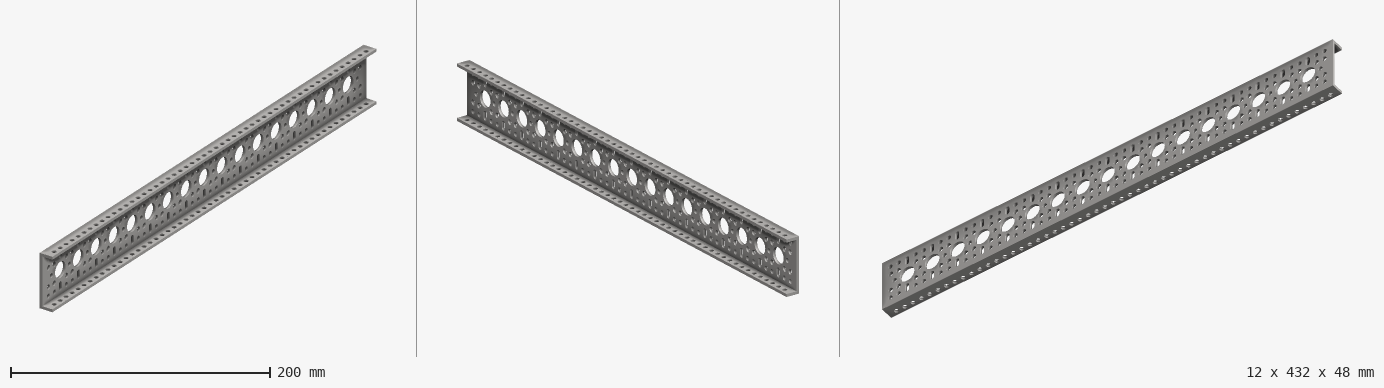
import cadquery as cq
import math

length = 432.0
wall = 2.5

grid_cells = 54
cells_per_bore = 3
pitch = length / grid_cells
height = 6 * pitch
depth = 1.5 * pitch

bore_pitch = cells_per_bore * pitch
bore_count = grid_cells // cells_per_bore - 1
bore_diameter = 1.75 * pitch
small_diameter = pitch / 2

upright_slot_center = 1.75 * pitch
upright_slot_length = pitch

outer_row = 2 * pitch
bolt_circle_radius = bore_pitch / 2
diagonal_inner = pitch
diagonal_outer = bolt_circle_radius * math.sin(math.radians(45))
diagonal_center = (diagonal_inner + diagonal_outer) / 2
diagonal_slot_length = (diagonal_outer - diagonal_inner) * math.sqrt(2) + small_diameter


def centered(count, spacing):
    """Positions of evenly spaced features, symmetric about the middle."""
    return [(i - (count - 1) / 2) * spacing for i in range(count)]


bore_positions = centered(bore_count, bore_pitch)
link_positions = centered(bore_count + 1, bore_pitch)
flange_positions = centered(grid_cells - 1, pitch)


def channel():
    """Plain U-shaped channel."""
    outside = cq.Workplane("XY").box(depth, length, height)
    inside = cq.Workplane("XY").box(depth, length, height - 2 * wall)
    return outside.cut(inside.translate((wall, 0, 0)))


def web_sketch(points):
    """Points on the outer web face: local x is Y, local y is Z."""
    return cq.Workplane("YZ", origin=(-depth / 2, 0, 0)).pushPoints(points)


def bores():
    """Large bores along the middle of the web."""
    points = [(y, 0) for y in bore_positions]
    return web_sketch(points).circle(bore_diameter / 2).extrude(wall)


def small_web_holes():
    """Link holes between the bores and the pairs of holes in the outer rows."""
    points = [(y, 0) for y in link_positions]
    for y in link_positions:
        for side in (-1, 1):
            points += [(y + side * pitch / 2, -outer_row), (y + side * pitch / 2, outer_row)]
    return web_sketch(points).circle(small_diameter / 2).extrude(wall)


def upright_slots():
    """Slots above and below every bore."""
    points = [(y, side * upright_slot_center) for y in bore_positions for side in (-1, 1)]
    return web_sketch(points).slot2D(upright_slot_length, small_diameter, 90).extrude(wall)


def diagonal_slots(direction):
    """Slots that rise toward +Y (direction 1) or toward -Y (direction -1)."""
    link_offset = bolt_circle_radius - diagonal_center
    points = []
    for y in link_positions:
        points.append((y - direction * link_offset, diagonal_center))
        points.append((y + direction * link_offset, -diagonal_center))
    return web_sketch(points).slot2D(diagonal_slot_length, small_diameter, direction * 45).extrude(wall)


def flange_holes():
    """Cutters running through both flanges, one grid pitch from the web face."""
    hole_x = -depth / 2 + pitch
    points = [(hole_x, y) for y in flange_positions]
    flanges = cq.Workplane("XY", origin=(0, 0, -height / 2)).pushPoints(points)
    return flanges.circle(small_diameter / 2).extrude(height)


cutters = [
    bores(),
    small_web_holes(),
    upright_slots(),
    diagonal_slots(1),
    diagonal_slots(-1),
    flange_holes(),
]

result = channel()
for cutter in cutters:
    result = result.cut(cutter)